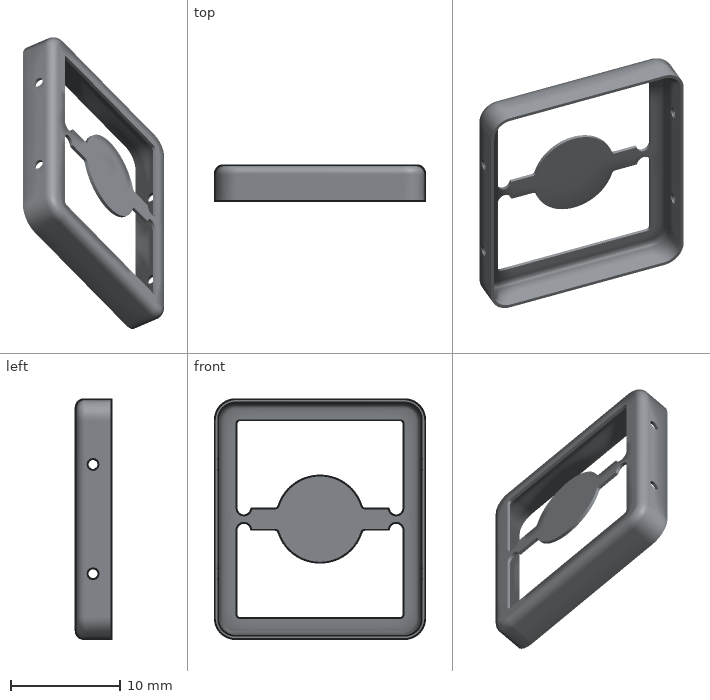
import cadquery as cq

width = 19.3
height = 22.0
depth = 3.3
corner_radius = 1.94
wall = 0.3
floor_thickness = 0.3
outer_edge_radius = 0.81
inner_edge_radius = outer_edge_radius - wall

window_width = 15.27
window_height = 18.1
window_corner_radius = 0.3
disk_radius = 4.0
arm_height = 1.98
disk_blend_radius = 0.3

notch_radius = 0.65
neck_height = 0.7
notch_x = window_width / 2 - notch_radius
notch_z = neck_height / 2 + notch_radius
arm_end_radius = 0.1

hole_diameter = 0.97
hole_spacing = 10.0
hole_y = 1.7


def rounded_block(size_x, size_z, length, radius):
    """Block from y = 0 to y = length with rounded corners along Y."""
    block = cq.Workplane("XZ").rect(size_x, size_z).extrude(-length)
    return block.edges("|Y").fillet(radius)


def make_tray():
    outer = rounded_block(width, height, depth, corner_radius)
    outer = outer.faces(">Y").edges().fillet(outer_edge_radius)
    cavity = rounded_block(
        width - 2 * wall, height - 2 * wall, depth - floor_thickness, corner_radius - wall
    )
    cavity = cavity.faces(">Y").edges().fillet(inner_edge_radius)
    return outer.cut(cavity)


def edges_within(half_width):
    """Selector for the edges along Y near the bar, up to half_width from the center in X."""
    box = cq.selectors.BoxSelector(
        (-half_width, 0, -arm_height), (half_width, depth, arm_height)
    )
    return box & cq.selectors.ParallelDirSelector(cq.Vector(0, 1, 0))


def make_window():
    window = rounded_block(window_width, window_height, depth, window_corner_radius)
    arm = cq.Workplane("XZ").rect(window_width, arm_height).extrude(-depth)
    disk = cq.Workplane("XZ").circle(disk_radius).extrude(-depth)
    bar = arm.union(disk)
    bar = bar.edges(edges_within(disk_radius)).fillet(disk_blend_radius)

    notch_centers = [(x, z) for x in (-notch_x, notch_x) for z in (-notch_z, notch_z)]
    notches = cq.Workplane("XZ").pushPoints(notch_centers).circle(notch_radius).extrude(-depth)
    bar = bar.cut(notches)
    arm_corners = edges_within(notch_x) - edges_within(disk_radius)
    bar = bar.edges(arm_corners).fillet(arm_end_radius)
    return window.union(notches).cut(bar)


def make_cross_holes():
    return (
        cq.Workplane("YZ")
        .pushPoints([(hole_y, -hole_spacing / 2), (hole_y, hole_spacing / 2)])
        .circle(hole_diameter / 2)
        .extrude(width, both=True)
    )


bezel = make_tray().cut(make_window()).cut(make_cross_holes())
result = bezel.translate((0, -depth / 2, 0))